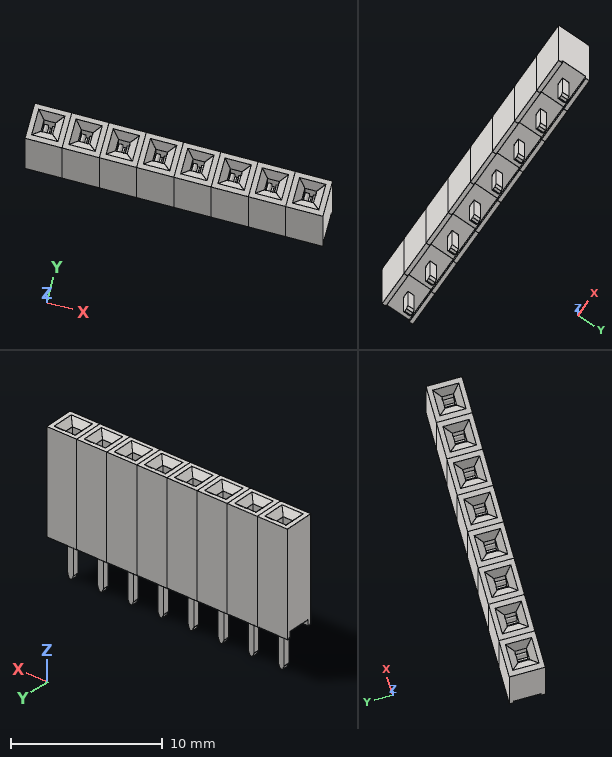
import cadquery as cq
import math


position_count = 8
row_length = 20.32
pitch = row_length / position_count

total_height = 11.89
cell_height = 8.6
cell_depth = 2.48
channel_height = 0.49
channel_leg = 0.3
channel_width = cell_depth - 2 * channel_leg

mouth_width = 1.79
hole_width = 0.8
mouth_depth = 0.49
hole_depth = 1.77

contact_offset = 0.047
tip_radius = 0.15
tip_spacing = 0.55
slot_width = tip_spacing - 2 * tip_radius
slot_depth = 0.6
trough_radius = 0.4
ridge_rise = trough_radius - math.sqrt(trough_radius**2 - (slot_width / 2) ** 2)

pin_width = 0.5
pin_length = total_height - cell_height
pin_tip_width = 0.2
pin_tip_length = 0.35

hole_floor_z = cell_height - hole_depth
slot_floor_z = hole_floor_z - slot_depth


def make_cell_block():
    """Plain cell with a channel along X under it, which leaves a leg on each side."""
    block = cq.Workplane("XY").box(pitch, cell_depth, cell_height, centered=(True, True, False))
    channel = cq.Workplane("XY").box(pitch, channel_width, channel_height, centered=(True, True, False))
    return block.cut(channel)


def make_socket_cutter():
    """Tapered mouth and the straight hole below it."""
    mouth = (
        cq.Workplane("XY", origin=(0, 0, cell_height - mouth_depth))
        .rect(hole_width, hole_width)
        .workplane(offset=mouth_depth)
        .rect(mouth_width, mouth_width)
        .loft(ruled=True)
    )
    hole = (
        cq.Workplane("XY", origin=(0, 0, hole_floor_z))
        .rect(hole_width, hole_width)
        .extrude(hole_depth - mouth_depth)
    )
    return mouth.union(hole)


def make_spring_tips():
    """Two half cylinders along Y that lie on the floor of the hole."""
    tips = cq.Workplane("XZ", origin=(contact_offset, 0, hole_floor_z))
    for side in (-1, 1):
        center_x = side * tip_spacing / 2
        tips = (
            tips.moveTo(center_x - tip_radius, 0)
            .threePointArc((center_x, tip_radius), (center_x + tip_radius, 0))
            .close()
        )
    return tips.extrude(hole_width / 2, both=True)


def make_slot_cutter():
    """Slot between the spring tips; its floor is two hollow curves that meet in a central ridge."""
    half_width = slot_width / 2
    return (
        cq.Workplane("XZ", origin=(contact_offset, 0, slot_floor_z))
        .moveTo(-half_width, slot_depth)
        .lineTo(-half_width, 0)
        .radiusArc((0, ridge_rise), -trough_radius)
        .radiusArc((half_width, 0), -trough_radius)
        .lineTo(half_width, slot_depth)
        .close()
        .extrude(hole_width / 2, both=True)
    )


def make_pin():
    """Square pin from the channel roof down to a tip that narrows along X."""
    half_width = pin_width / 2
    half_tip = pin_tip_width / 2
    shoulder_z = pin_tip_length - pin_length
    outline = [
        (-half_width, channel_height),
        (-half_width, shoulder_z),
        (-half_tip, -pin_length),
        (half_tip, -pin_length),
        (half_width, shoulder_z),
        (half_width, channel_height),
    ]
    return (
        cq.Workplane("XZ", origin=(contact_offset, 0, 0))
        .polyline(outline)
        .close()
        .extrude(half_width, both=True)
    )


def make_position(center_x):
    """One socket cell with its contact and pin, as a single solid."""
    position = (
        make_cell_block()
        .cut(make_socket_cutter())
        .union(make_spring_tips())
        .cut(make_slot_cutter())
        .union(make_pin())
    )
    return position.translate((center_x, 0, 0))


first_x = (pitch - row_length) / 2
positions = [make_position(first_x + index * pitch) for index in range(position_count)]

result = cq.Compound.makeCompound([position.solids().val() for position in positions])